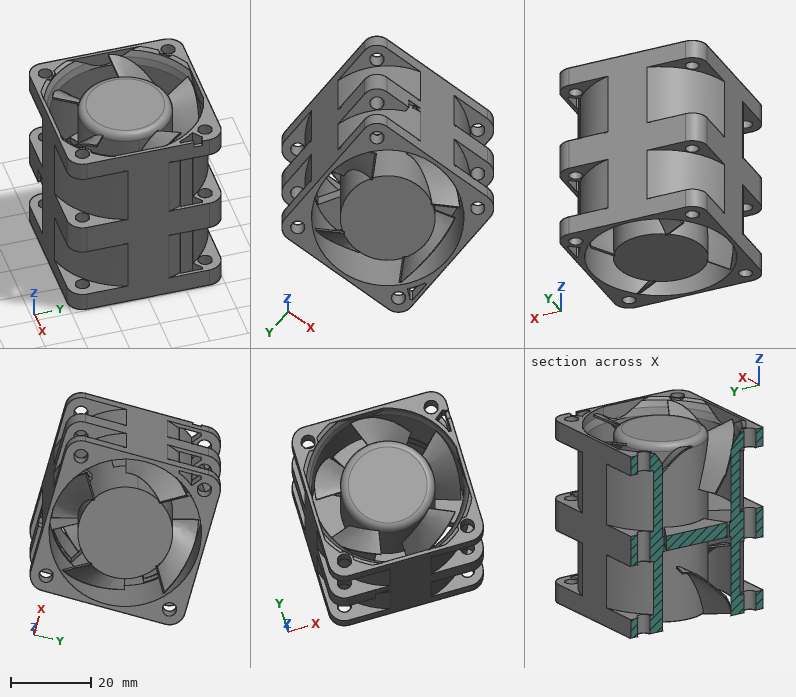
import cadquery as cq
import math


body_bottom = 0.4
body_height = 48.0
body_top = body_bottom + body_height
flange_height = 5.0
lower_recess_height = 14.0
middle_flange_height = 8.0
lower_recess_base = body_bottom + flange_height
middle_flange_base = lower_recess_base + lower_recess_height
middle_flange_top = middle_flange_base + middle_flange_height
upper_recess_top = body_top - flange_height

side = 40.0
half_side = side / 2
corner_radius = 4.03
tube_radius = 20.7
hole_offset = 16.0
hole_diameter = 3.5

bore_radius = 19.0
inlet_radius = 19.6
inlet_straight = 2.2
inlet_taper = 1.95
inlet_half_width = 19.1
flare_radius = 21.35
flare_depth = 0.6
throat_radius = 20.4
screw_boss_edge = 13.65

plate_base = 21.4
plate_thickness = 4.0
window_radius = 18.75
window_root_radius = 10.65
window_start = 30
window_end = 60
window_count = 4

total_height = 48.5
hub_radius = 11.85
hub_fillet = 2.0
hub_drop = 1.0
lower_hub_overhang = 0.1
blade_root_radius = 11.55
blade_tip_radius = 18.3
blade_thickness = 0.5
blade_height = 14.8
blade_curve = 1.8
blade_steps = 5
upper_blade_count = 5
upper_root_drop = 2.42
upper_root_angles = (55.0, 98.5)
upper_tip_angles = (55.0, 104.5)
lower_blade_count = 4
lower_blade_bottom = 0.2
lower_root_angles = (33.0, -15.0)
lower_tip_angles = (43.0, -15.0)

cable_wall_x = 19.1
cable_arc_clearance = 0.15
cable_corner_x = 18.55
cable_low_y = 8.75
cable_high_y = 14.5
cable_high_wall_y = 14.2
cable_inner = (16.2, 12.65)
wire_slot_low_y = 11.95
wire_slot_high_y = 14.1
wire_slot_depth = 1.45
notch_left = -9.0
notch_tongue = -7.3
notch_top = 23.35
notch_tongue_top = 22.6
notch_tongue_base = 22.15


def cylinder(radius, base, top):
    return cq.Workplane("XY").workplane(offset=base).circle(radius).extrude(top - base)


def box(x_min, x_max, y_min, y_max, base, top):
    size = (x_max - x_min, y_max - y_min, top - base)
    return cq.Workplane("XY").box(*size, centered=False).translate((x_min, y_min, base))


def square_block(width, base, top):
    return cq.Workplane("XY").workplane(offset=base).rect(width, width).extrude(top - base)


def polar(radius, degrees):
    angle = math.radians(degrees)
    return (radius * math.cos(angle), radius * math.sin(angle))


def housing_shell():
    """Rounded block whose corners are recessed down to a round tube between flanges."""
    block = square_block(side, body_bottom, body_top).edges("|Z").fillet(corner_radius)
    for base, top in ((lower_recess_base, middle_flange_base), (middle_flange_top, upper_recess_top)):
        block = block.cut(square_block(side, base, top).cut(cylinder(tube_radius, base, top)))
    holes = (
        cq.Workplane("XY")
        .workplane(offset=body_bottom)
        .rect(2 * hole_offset, 2 * hole_offset, forConstruction=True)
        .vertices()
        .circle(hole_diameter / 2)
        .extrude(body_height)
    )
    return block.cut(holes)


def funnel(low_radius, high_radius, base, top):
    """Solid cone frustum standing on the housing axis."""
    return (
        cq.Workplane("XZ")
        .moveTo(0, base)
        .lineTo(low_radius, base)
        .lineTo(high_radius, top)
        .lineTo(0, top)
        .close()
        .revolve(360, (0, 0, 0), (0, 1, 0))
    )


def air_passage():
    """Straight bore with a tapered inlet, widened at every corner but the cable corner."""
    flare_base = body_top - flare_depth
    straight_base = body_top - inlet_straight
    taper_base = straight_base - inlet_taper
    inlet = funnel(bore_radius, inlet_radius, taper_base, straight_base)
    inlet = inlet.union(cylinder(inlet_radius, straight_base, body_top))

    flare = funnel(throat_radius, flare_radius, flare_base, body_top)
    boss = box(screw_boss_edge, half_side, screw_boss_edge, half_side, flare_base, body_top)
    for quadrant in range(1, 4):
        flare = flare.cut(boss.rotate((0, 0, 0), (0, 0, 1), 90 * quadrant))
    throat = funnel(inlet_radius, throat_radius, straight_base, flare_base)
    throat = throat.union(cylinder(throat_radius, flare_base, body_top))
    cable_corner = box(0, half_side, 0, half_side, straight_base, body_top)
    widening = throat.union(flare).cut(cable_corner)

    walls = square_block(2 * inlet_half_width, taper_base, body_top)
    inlet = inlet.union(widening).intersect(walls)
    return cylinder(bore_radius, body_bottom, body_top).union(inlet)


def stator_plate():
    """Disc joined to the bore, pierced by evenly spaced ring-shaped windows."""
    window_middle = (window_start + window_end) / 2
    plate = cylinder(bore_radius, plate_base, plate_base + plate_thickness)
    window = (
        cq.Workplane("XY")
        .workplane(offset=plate_base)
        .moveTo(*polar(window_root_radius, window_start))
        .lineTo(*polar(window_radius, window_start))
        .threePointArc(polar(window_radius, window_middle), polar(window_radius, window_end))
        .lineTo(*polar(window_root_radius, window_end))
        .threePointArc(polar(window_root_radius, window_middle), polar(window_root_radius, window_start))
        .close()
        .extrude(plate_thickness)
    )
    for index in range(window_count):
        plate = plate.cut(window.rotate((0, 0, 0), (0, 0, 1), index * 360 / window_count))
    return plate


def blade(bottom, tip_top, root_drop, root_angles, tip_angles):
    """Curved blade, steep at its bottom edge and flattening towards its top edge.

    The angle pairs give the bottom and top edges; the root's top edge lies root_drop lower.
    """
    mean_radius = (hub_radius + blade_tip_radius) / 2
    sweep = math.radians((root_angles[1] - root_angles[0] + tip_angles[1] - tip_angles[0]) / 2)
    tangential_run = mean_radius * sweep
    mean_rise = tip_top - root_drop / 2 - bottom
    sections = []
    for step in range(blade_steps + 1):
        share = step / blade_steps
        climb = 1 - (1 - share) ** blade_curve
        root_angle = root_angles[0] + share * (root_angles[1] - root_angles[0])
        tip_angle = tip_angles[0] + share * (tip_angles[1] - tip_angles[0])
        root_height = bottom + climb * (tip_top - root_drop - bottom)
        tip_height = bottom + climb * (tip_top - bottom)
        root = cq.Vector(*polar(blade_root_radius, root_angle), root_height)
        tip = cq.Vector(*polar(blade_tip_radius, tip_angle), tip_height)

        vertical_rate = mean_rise * blade_curve * (1 - share) ** (blade_curve - 1)
        slope = math.atan2(vertical_rate, abs(tangential_run))
        sideways = math.copysign(math.sin(slope), tangential_run)
        tangent = cq.Vector(*polar(1, (root_angle + tip_angle) / 2 + 90))
        offset = (tangent * sideways - cq.Vector(0, 0, math.cos(slope))) * blade_thickness
        corners = [root, tip, tip + offset, root + offset]
        sections.append(cq.Wire.makePolygon(corners, close=True))
    return cq.Workplane(cq.Solid.makeLoft(sections))


def add_blades(body, pattern_blade, count):
    for index in range(count):
        body = body.union(pattern_blade.rotate((0, 0, 0), (0, 0, 1), index * 360 / count))
    return body


def rotors():
    """Common hub carrying the oppositely twisted upper and lower blades."""
    hub = cylinder(hub_radius, body_bottom - lower_hub_overhang, body_top - hub_drop)
    hub = hub.faces(">Z").edges().fillet(hub_fillet)
    upper_bottom = total_height - blade_height
    upper = blade(upper_bottom, total_height, upper_root_drop, upper_root_angles, upper_tip_angles)
    lower = blade(lower_blade_bottom, blade_height, 0, lower_root_angles, lower_tip_angles)
    lower = lower.intersect(cylinder(bore_radius, 0, blade_height))
    hub = add_blades(hub, upper, upper_blade_count)
    return add_blades(hub, lower, lower_blade_count)


def cable_duct():
    """Wedge-shaped duct through the flanges beside the tube, open to the +X side at the top."""
    middle_y = (cable_inner[1] + cable_low_y) / 2
    outside_tube = tube_radius - cable_arc_clearance
    middle_x = math.sqrt(outside_tube**2 - middle_y**2)
    duct = (
        cq.Workplane("XY")
        .workplane(offset=body_bottom)
        .moveTo(*cable_inner)
        .threePointArc((middle_x, middle_y), (cable_corner_x, cable_low_y))
        .lineTo(cable_wall_x, cable_low_y)
        .lineTo(cable_wall_x, cable_high_wall_y)
        .lineTo(cable_corner_x, cable_high_y)
        .close()
        .extrude(body_height)
    )
    slot_base = body_top - wire_slot_depth
    slot = box(cable_wall_x, half_side, wire_slot_low_y, wire_slot_high_y, slot_base, body_top)
    return duct.union(slot)


def cable_notch():
    """Notch in the -Y side of the middle flange, reaching in to the tube."""
    notch_right = -math.sqrt(tube_radius**2 - half_side**2)
    outline = [
        (notch_left, middle_flange_base),
        (notch_left, notch_top),
        (notch_right, notch_top),
        (notch_tongue, notch_tongue_top),
        (notch_tongue, notch_tongue_base),
        (notch_right, plate_base),
        (notch_right, middle_flange_base),
    ]
    notch = cq.Workplane("XZ").polyline(outline).close().extrude(half_side)
    return notch.cut(cylinder(tube_radius, middle_flange_base, notch_top))


housing = housing_shell().cut(air_passage())
housing = housing.cut(cable_duct()).cut(cable_notch())
result = housing.union(stator_plate()).union(rotors())